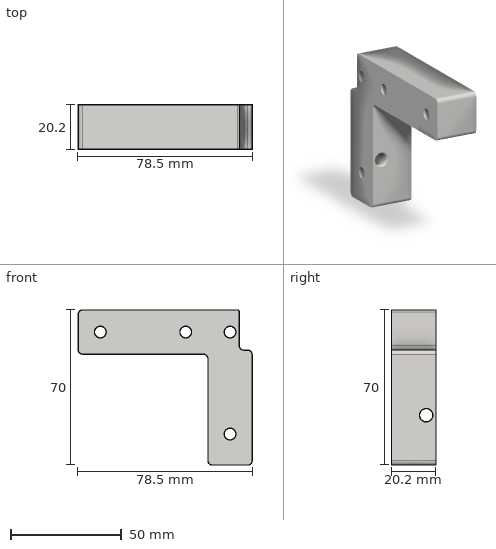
import cadquery as cq

length = 78.5
height = 70.0
thickness = 20.2

arm_width = 20.0
step_width = 5.8
step_depth = 18.1
corner_radius = 2.05
small_corner_radius = 0.95

mount_diameter = 5.2
mount_edge_inset = arm_width / 2
middle_hole_x = 48.5
lower_hole_z = 14.05

cross_diameter = 5.9
cross_mouth_diameter = 7.0
cross_z = 22.5
cross_back_inset = 4.5

front_y = -thickness / 2
inner_x = length - arm_width
inner_z = height - arm_width
step_x = length - step_width
step_z = height - step_depth
upper_hole_z = height - mount_edge_inset
right_hole_x = length - mount_edge_inset
cross_y = thickness / 2 - cross_back_inset


def round_edge(body, x, z, radius):
    """Fillet the profile edge that runs along Y at the given corner."""
    reach = 0.1
    corner = cq.selectors.BoxSelector(
        (x - reach, -reach, z - reach),
        (x + reach, reach, z + reach),
    )
    return body.edges("|Y").edges(corner).fillet(radius)


def make_body():
    """Extrude the stepped L profile and round its corners."""
    outline = [
        (0, inner_z),
        (0, height),
        (step_x, height),
        (step_x, step_z),
        (length, step_z),
        (length, 0),
        (inner_x, 0),
        (inner_x, inner_z),
    ]
    small_corner = (step_x, height)
    body = cq.Workplane("XZ").polyline(outline).close().extrude(thickness / 2, both=True)
    for x, z in outline:
        radius = small_corner_radius if (x, z) == small_corner else corner_radius
        body = round_edge(body, x, z, radius)
    return body


def make_mount_holes():
    """Four through holes along Y: three in the upper arm, one in the lower."""
    centers = [
        (mount_edge_inset, upper_hole_z),
        (middle_hole_x, upper_hole_z),
        (right_hole_x, upper_hole_z),
        (right_hole_x, lower_hole_z),
    ]
    plane = cq.Workplane("XZ", origin=(0, front_y, 0))
    return plane.pushPoints(centers).circle(mount_diameter / 2).extrude(-thickness)


def make_cross_hole():
    """Through hole along X with a 45 degree countersunk mouth on the inner face."""
    bore_radius = cross_diameter / 2
    mouth_radius = cross_mouth_diameter / 2
    chamfer = mouth_radius - bore_radius
    axis_start = cq.Vector(inner_x, cross_y, cross_z)
    axis = cq.Vector(1, 0, 0)
    bore = cq.Solid.makeCylinder(bore_radius, arm_width, axis_start, axis)
    mouth = cq.Solid.makeCone(mouth_radius, bore_radius, chamfer, axis_start, axis)
    return cq.Workplane(bore).union(cq.Workplane(mouth))


result = make_body().cut(make_mount_holes()).cut(make_cross_hole())